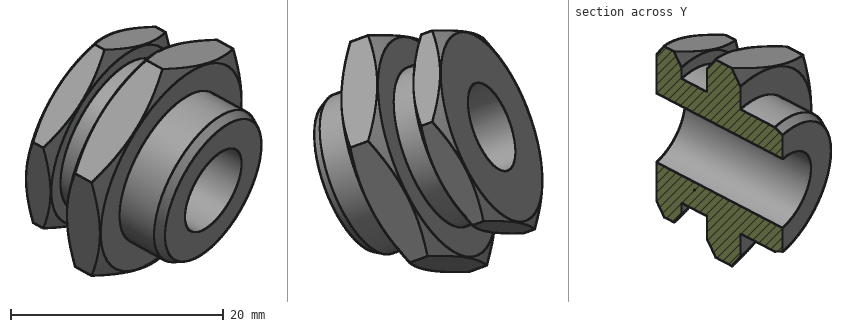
import cadquery as cq
import math

total_length = 15.0
body_diameter = 16.0
bore_diameter = 8.8

taper_length = 0.91
taper_depth = 0.5

large_corners = 25.4
large_start = 6.0
large_width = 4.01
small_flats = 19.0
small_corners = small_flats / math.cos(math.radians(30))
small_width = 3.0

chamfer_angle = 30.0
face_inset = 0.08


def chamfered_hexagon(corners, start, width):
    """Hexagonal collar along X, its corners trimmed by a cone at each face."""
    prism = (
        cq.Workplane("YZ")
        .workplane(offset=start)
        .polygon(6, corners)
        .extrude(width)
        .rotate((0, 0, 0), (1, 0, 0), 90)
    )
    face_radius = corners / 2 * math.cos(math.radians(30)) - face_inset
    peak_radius = face_radius + width / 2 / math.tan(math.radians(chamfer_angle))
    double_cone = (
        cq.Workplane("XY")
        .moveTo(start, 0)
        .lineTo(start, face_radius)
        .lineTo(start + width / 2, peak_radius)
        .lineTo(start + width, face_radius)
        .lineTo(start + width, 0)
        .close()
        .revolve(360, (0, 0, 0), (1, 0, 0))
    )
    return prism.intersect(double_cone)


body_radius = body_diameter / 2
body = (
    cq.Workplane("XY")
    .lineTo(0, body_radius)
    .lineTo(total_length - taper_length, body_radius)
    .lineTo(total_length, body_radius - taper_depth)
    .lineTo(total_length, 0)
    .close()
    .revolve(360, (0, 0, 0), (1, 0, 0))
)

small_hexagon = chamfered_hexagon(small_corners, 0, small_width)
large_hexagon = chamfered_hexagon(large_corners, large_start, large_width)

bore = cq.Workplane("YZ").circle(bore_diameter / 2).extrude(total_length)

result = body.union(small_hexagon).union(large_hexagon).cut(bore)